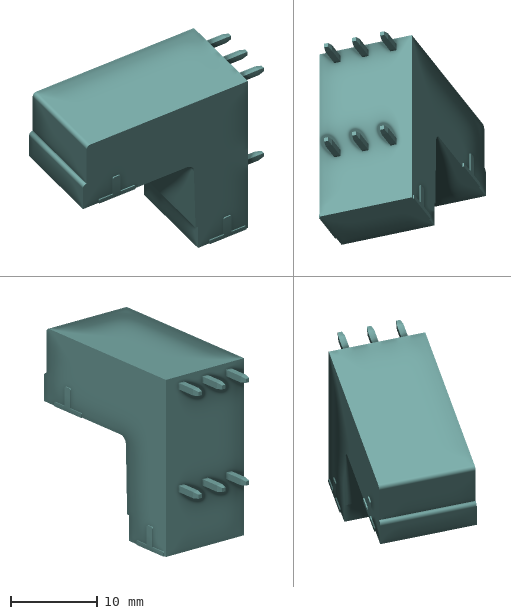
import cadquery as cq
import math

overall_width = 11.9
overall_depth = 26.2
height = 21.9
tab_thickness = 0.15
pin_length = 3.5
row_spacing = 12.7

body_width = overall_width - 2 * tab_thickness
body_depth = overall_depth - pin_length

lip_depth = 0.5
lip_top = 16.3
top_edge_radius = 0.5
front_face_y = lip_depth - body_depth

foot_depth = 6.86
foot_height = 3.17
leg_depth = 7.2
leg_draft = math.radians(1.5)
inner_radius = 1.0
arm_underside = row_spacing
leg_top_depth = leg_depth + (arm_underside - foot_height) * math.tan(leg_draft)

tab_base_length = 5.0
tab_base_height = 0.55
tab_base_radius = 0.13
tab_height = 3.0
stem_width = 1.02
stem_radius = 0.2
stem_offset = 2.05
foot_tab_gap = 0.31
arm_tab_shift = 15.25

pin_size = 0.79
pin_tip_size = 0.5
pin_tip_length = 0.8
pin_pitch = 3.5
pins_per_row = 3
lower_pin_z = 8.0


def make_body():
    """L-shaped profile in the YZ plane, extruded symmetrically along X."""
    profile = (
        cq.Workplane("YZ")
        .moveTo(0, 0)
        .lineTo(0, height)
        .lineTo(front_face_y + top_edge_radius, height)
        .radiusArc((front_face_y, height - top_edge_radius), -top_edge_radius)
        .lineTo(front_face_y, lip_top)
        .radiusArc((-body_depth, lip_top - lip_depth), -lip_depth)
        .lineTo(-body_depth, arm_underside)
        .lineTo(-leg_top_depth, arm_underside)
        .lineTo(-leg_depth, foot_height)
        .lineTo(-foot_depth, foot_height)
        .lineTo(-foot_depth, 0)
        .close()
    )
    body = profile.extrude(body_width / 2, both=True)
    inner_corner = cq.selectors.NearestToPointSelector((0, -leg_top_depth, arm_underside))
    return body.edges(inner_corner).fillet(inner_radius)


def make_tab_pair(back_y, bottom_z):
    """T-shaped tab spanning the full width, so that it stands out on both sides."""
    base = (
        cq.Workplane("XY")
        .box(overall_width, tab_base_length, tab_base_height, centered=(True, False, False))
        .edges("|X and >Z")
        .fillet(tab_base_radius)
        .translate((0, back_y - tab_base_length, bottom_z))
    )
    stem = (
        cq.Workplane("XY")
        .box(overall_width, stem_width, tab_height, centered=(True, False, False))
        .edges("|X and >Z")
        .fillet(stem_radius)
        .translate((0, back_y - stem_offset - stem_width, bottom_z))
    )
    return base.union(stem)


def make_pin(x, z):
    """Square pin rising from the back face, with a tapered tip."""
    shaft_length = pin_length - pin_tip_length
    shaft = (
        cq.Workplane("XZ", origin=(x, 0, z))
        .rect(pin_size, pin_size)
        .extrude(-shaft_length)
    )
    tip = (
        cq.Workplane("XZ", origin=(x, shaft_length, z))
        .rect(pin_size, pin_size)
        .workplane(offset=-pin_tip_length)
        .rect(pin_tip_size, pin_tip_size)
        .loft(ruled=True)
    )
    return shaft.union(tip)


result = make_body()
result = result.union(make_tab_pair(-foot_tab_gap, 0))
result = result.union(make_tab_pair(-foot_tab_gap - arm_tab_shift, arm_underside))
for pin_z in (lower_pin_z, lower_pin_z + row_spacing):
    for column in range(pins_per_row):
        pin_x = (column - (pins_per_row - 1) / 2) * pin_pitch
        result = result.union(make_pin(pin_x, pin_z))